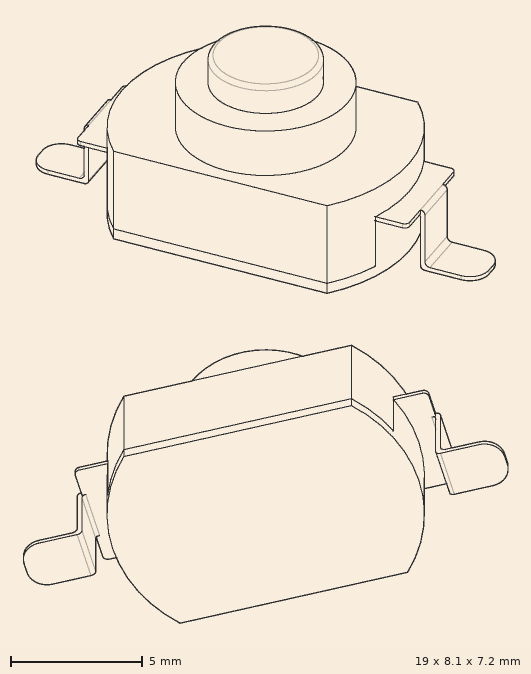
import cadquery as cq
import math

body_radius = 6.052
body_width = 8.1
flat_y = body_width / 2
flat_end_x = math.sqrt(body_radius**2 - flat_y**2)
body_height = 3.97
base_thickness = 0.45

collar_diameter = 6.9
collar_top = 5.98
button_diameter = 4.4
button_top = 7.2
button_rim_radius = 0.19

sheet = 0.19
terminal_end_x = 9.5
wall_outer_x = 7.18
wall_inner_x = wall_outer_x - sheet
flange_inner_x = 5.0
flange_top = 2.7
flange_bottom = flange_top - sheet
flange_width = 4.33
flange_corner_radius = 0.2
tab_width = 2.0
foot_corner_radius = 0.8
bend_inner_radius = 0.2
bend_outer_radius = 0.19
upper_bend_inner_radius = 0.15

directions = (-1, 1)


def body_prism(bottom, top):
    """Disc with two flats, between two heights."""
    return (
        cq.Workplane("XY", origin=(0, 0, bottom))
        .moveTo(-flat_end_x, -flat_y)
        .lineTo(flat_end_x, -flat_y)
        .threePointArc((body_radius, 0), (flat_end_x, flat_y))
        .lineTo(-flat_end_x, flat_y)
        .threePointArc((-body_radius, 0), (-flat_end_x, -flat_y))
        .close()
        .extrude(top - bottom)
    )


def end_block(direction, outer_x, bottom, top):
    """Block as wide as a flange, from the flange's inner end out to outer_x."""
    length = outer_x - flange_inner_x
    center_x = direction * (flange_inner_x + outer_x) / 2
    return (
        cq.Workplane("XY", origin=(center_x, 0, bottom))
        .rect(length, flange_width)
        .extrude(top - bottom)
    )


def make_housing():
    """Upper shell with a collar and a notch at each end."""
    housing = body_prism(base_thickness, body_height)
    collar = (
        cq.Workplane("XY", origin=(0, 0, body_height))
        .circle(collar_diameter / 2)
        .extrude(collar_top - body_height)
    )
    housing = housing.union(collar)
    for direction in directions:
        housing = housing.cut(end_block(direction, body_radius, base_thickness, flange_top))
    return housing


def make_base():
    """Bottom plate with a tongue at each end that fills the notch below the flange."""
    base = body_prism(0, base_thickness)
    rounded_outline = body_prism(0, flange_bottom)
    for direction in directions:
        tongue = end_block(direction, body_radius, 0, flange_bottom)
        base = base.union(tongue.intersect(rounded_outline))
    return base


def make_button():
    """Round push button with a rounded top rim, resting on the collar."""
    return (
        cq.Workplane("XY", origin=(0, 0, collar_top))
        .circle(button_diameter / 2)
        .extrude(button_top - collar_top)
        .faces(">Z")
        .edges()
        .fillet(button_rim_radius)
    )


def bend_fillet(strip, x, z, radius):
    """Round the crosswise edge of the strip that passes through (x, z)."""
    return strip.edges(cq.selectors.NearestToPointSelector((x, 0, z))).fillet(radius)


def make_terminal(direction):
    """Z-bent strip with a rounded foot and a wide flange at its inner end."""
    profile = [
        (flange_inner_x, flange_top),
        (wall_outer_x, flange_top),
        (wall_outer_x, sheet),
        (terminal_end_x, sheet),
        (terminal_end_x, 0),
        (wall_inner_x, 0),
        (wall_inner_x, flange_bottom),
        (flange_inner_x, flange_bottom),
    ]
    points = [(direction * x, z) for x, z in profile]
    strip = cq.Workplane("XZ").polyline(points).close().extrude(tab_width / 2, both=True)
    bends = [
        (wall_outer_x, flange_top, bend_outer_radius),
        (wall_inner_x, flange_bottom, upper_bend_inner_radius),
        (wall_outer_x, sheet, bend_inner_radius),
        (wall_inner_x, 0, bend_outer_radius),
    ]
    for x, z, radius in bends:
        strip = bend_fillet(strip, direction * x, z, radius)

    end_face = ">X" if direction > 0 else "<X"
    strip = strip.faces(end_face).edges("|Z").fillet(foot_corner_radius)
    flange = end_block(direction, wall_inner_x, flange_bottom, flange_top)
    flange = flange.faces(end_face).edges("|Z").fillet(flange_corner_radius)
    return strip.union(flange)


housing = make_housing()
base = make_base()
button = make_button()
terminals = [make_terminal(direction) for direction in directions]

result = cq.Compound.makeCompound(
    [housing.val(), base.val(), button.val(), *[terminal.val() for terminal in terminals]]
)